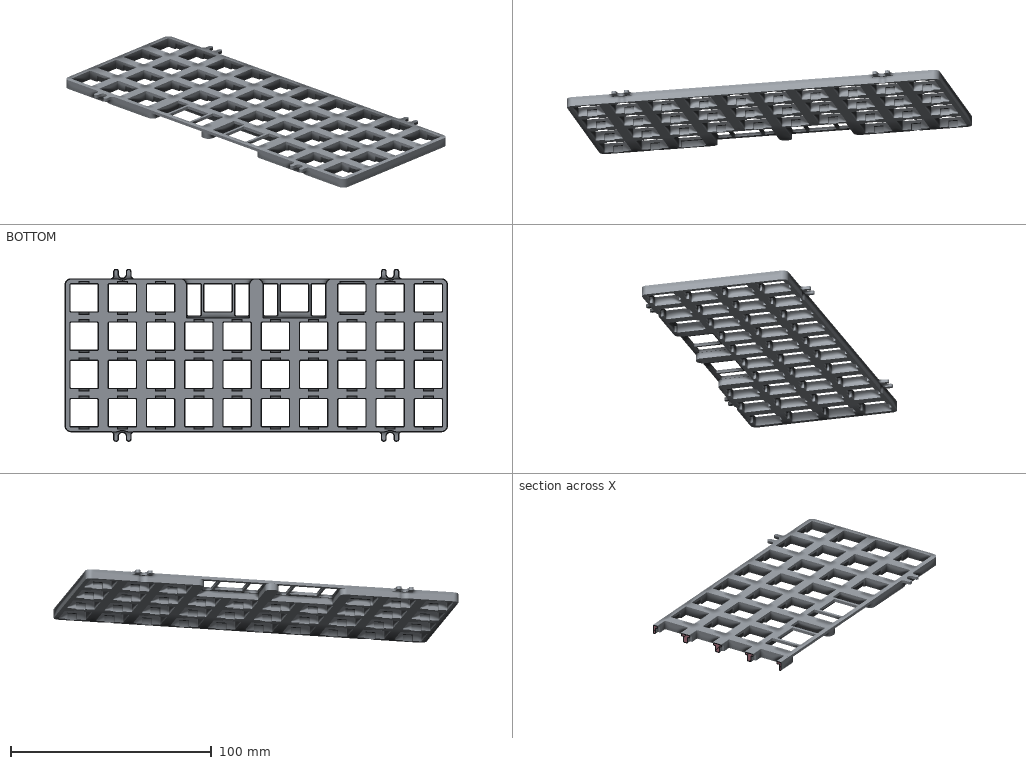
import cadquery as cq
import math

key_pitch = 19.05
columns = 10
rows = 4

fit_gap = 0.05
plate_length = columns * key_pitch - fit_gap
plate_width = rows * key_pitch - fit_gap
plate_height = 4.7
skin_height = 1.5
body_height = plate_height - skin_height
corner_radius = 3.0

switch_size = 14.0
opening_radius = 0.5
clip_width = 5.0
clip_depth = 1.2
wide_clip_width = 12.0
wide_clip_key = (7, 3)

wide_key_start_columns = (3, 5)
stabiliser_offset = 11.9
slot_width = 7.1
slot_rear = 8.9
slot_front = -switch_size / 2
bay_half_width = 15.7
bay_rear = slot_rear + 1.0
bay_rear_radius = 0.5

tab_reach = 4.75
tab_columns = (1, 8)
fork_slot_radius = 2.0
prong_width = 2.3
tab_half_width = fork_slot_radius + prong_width
tab_root_radius = 1.7
fork_center_reach = 2.3
screw_relief_radius = 3.0
relief_blend_radius = 3.0


def column_x(column):
    return (column - (columns - 1) / 2) * key_pitch


def row_y(row):
    """Centre of a row, counted from the rear (+Y) row."""
    return ((rows - 1) / 2 - row) * key_pitch


def block(x_size, y_size, z_bottom, z_top, x_center=0, y_center=0):
    return (
        cq.Workplane("XY", origin=(x_center, y_center, z_bottom))
        .rect(x_size, y_size)
        .extrude(z_top - z_bottom)
    )


def rounded_block(x_size, y_size, z_bottom, z_top, radius, x_center=0, y_center=0):
    solid = block(x_size, y_size, z_bottom, z_top, x_center, y_center)
    return solid.edges("|Z").fillet(radius)


def mounting_tab(x_center):
    """Forked tab on the +Y side, flush with the top of the plate."""
    edge = plate_width / 2
    anchor = edge - corner_radius / 2
    root_half_width = tab_half_width + tab_root_radius
    tip_radius = prong_width / 2
    tip_shoulder = edge + tab_reach - tip_radius
    diagonal = tab_root_radius * (1 - math.sqrt(0.5))
    return (
        cq.Workplane("XY", origin=(x_center, 0, body_height))
        .moveTo(-root_half_width, anchor)
        .lineTo(-root_half_width, edge)
        .threePointArc(
            (-tab_half_width - diagonal, edge + diagonal),
            (-tab_half_width, edge + tab_root_radius),
        )
        .lineTo(-tab_half_width, tip_shoulder)
        .threePointArc(
            (-tab_half_width + tip_radius, tip_shoulder + tip_radius),
            (-fork_slot_radius, tip_shoulder),
        )
        .lineTo(-fork_slot_radius, edge + fork_center_reach)
        .threePointArc(
            (0, edge + fork_center_reach - fork_slot_radius),
            (fork_slot_radius, edge + fork_center_reach),
        )
        .lineTo(fork_slot_radius, tip_shoulder)
        .threePointArc(
            (tab_half_width - tip_radius, tip_shoulder + tip_radius),
            (tab_half_width, tip_shoulder),
        )
        .lineTo(tab_half_width, edge + tab_root_radius)
        .threePointArc(
            (tab_half_width + diagonal, edge + diagonal),
            (root_half_width, edge),
        )
        .lineTo(root_half_width, anchor)
        .close()
        .extrude(skin_height)
    )


def screw_relief(x_center):
    """Shallow hollow in the +Y side wall below a tab, blended into the wall."""
    edge = plate_width / 2
    center_y = edge + fork_center_reach
    blend_y = edge - relief_blend_radius
    radius_sum = screw_relief_radius + relief_blend_radius
    blend_x = math.sqrt(radius_sum**2 - (center_y - blend_y) ** 2)
    share = screw_relief_radius / radius_sum
    joint_x = blend_x * share
    joint_y = center_y + (blend_y - center_y) * share
    half_angle = math.atan2(blend_x, center_y - blend_y) / 2
    middle_x = blend_x - relief_blend_radius * math.sin(half_angle)
    middle_y = blend_y + relief_blend_radius * math.cos(half_angle)
    return (
        cq.Workplane("XY", origin=(x_center, 0, 0))
        .moveTo(-blend_x, edge)
        .threePointArc((-middle_x, middle_y), (-joint_x, joint_y))
        .threePointArc((0, center_y - screw_relief_radius), (joint_x, joint_y))
        .threePointArc((middle_x, middle_y), (blend_x, edge))
        .close()
        .extrude(body_height)
    )


def switch_opening(x, y):
    return rounded_block(switch_size, switch_size, 0, plate_height, opening_radius, x, y)


def clip_recesses(x, y, width):
    """Recesses under the skin, behind the front and rear walls of an opening."""
    return block(width, switch_size + 2 * clip_depth, 0, body_height, x, y)


def stabiliser_slot(x, key_y):
    y = key_y + (slot_rear + slot_front) / 2
    return rounded_block(slot_width, slot_rear - slot_front, 0, plate_height, opening_radius, x, y)


def stabiliser_bay(x, key_y):
    """Hollow under the skin, open to the front, with rounded wall ends at its mouth."""
    front = -plate_width / 2
    rear = key_y + bay_rear
    mouth = bay_half_width + corner_radius
    diagonal = corner_radius * (1 - math.sqrt(0.5))
    bay = (
        cq.Workplane("XY", origin=(x, 0, 0))
        .moveTo(-mouth, front)
        .threePointArc(
            (-bay_half_width - diagonal, front + diagonal),
            (-bay_half_width, front + corner_radius),
        )
        .lineTo(-bay_half_width, rear)
        .lineTo(bay_half_width, rear)
        .lineTo(bay_half_width, front + corner_radius)
        .threePointArc(
            (bay_half_width + diagonal, front + diagonal),
            (mouth, front),
        )
        .close()
        .extrude(body_height)
    )
    return bay.edges("|Z").edges(">Y").fillet(bay_rear_radius)


def front_row_wide_columns():
    return [start + step for start in wide_key_start_columns for step in (0, 1)]


def single_keys():
    """(column, row) of every key with its own grid cell."""
    front_row = rows - 1
    wide_columns = front_row_wide_columns()
    return [
        (column, row)
        for row in range(rows)
        for column in range(columns)
        if row != front_row or column not in wide_columns
    ]


def plate_blank():
    outline = rounded_block(plate_length, plate_width, 0, plate_height, corner_radius)
    for column in tab_columns:
        tab = mounting_tab(column_x(column))
        outline = outline.union(tab).union(tab.mirror("XZ"))
    return outline


def single_key_cutters():
    cutters = []
    for column, row in single_keys():
        x = column_x(column)
        y = row_y(row)
        is_wide_clip = (column, row) == wide_clip_key
        width = wide_clip_width if is_wide_clip else clip_width
        cutters.append(switch_opening(x, y))
        cutters.append(clip_recesses(x, y, width))
    return cutters


def wide_key_cutters():
    cutters = []
    y = row_y(rows - 1)
    for start in wide_key_start_columns:
        x = column_x(start) + key_pitch / 2
        cutters.append(switch_opening(x, y))
        cutters.append(stabiliser_bay(x, y))
        for side in (-1, 1):
            cutters.append(stabiliser_slot(x + side * stabiliser_offset, y))
    return cutters


def relief_cutters():
    cutters = []
    for column in tab_columns:
        relief = screw_relief(column_x(column))
        cutters.append(relief)
        cutters.append(relief.mirror("XZ"))
    return cutters


all_cutters = single_key_cutters() + wide_key_cutters() + relief_cutters()
result = cq.Workplane(plate_blank().val().cut(*[cutter.val() for cutter in all_cutters]))